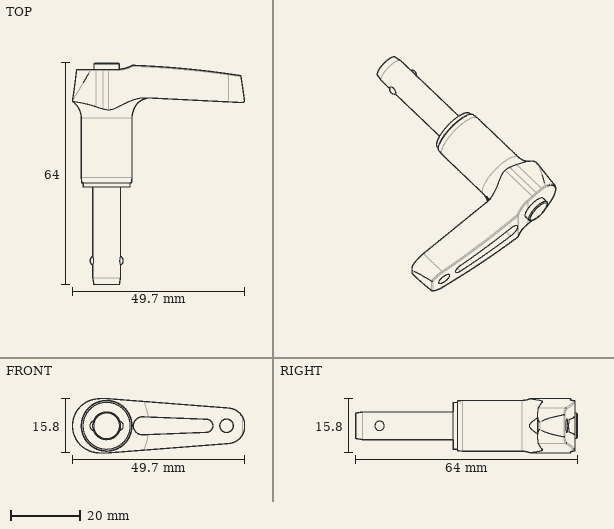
import cadquery as cq
import math


pin_radius = 4.0
pin_length = 28.15
tip_radius = 3.7
tip_length = 2.0
collar_radius = 6.8
collar_height = 1.2
neck_radius = 7.35
neck_end_radius = 7.2
neck_taper_top = 2.75

ball_radius = 1.5
ball_reach = 4.8
ball_y = -21.25

button_radius = 3.7
button_top = 35.85
button_chamfer = 0.3

hub_diameter = 15.7
hub_radius = hub_diameter / 2
hub_center_x = -2.05
shoulder_x = -3.15
crown_x = -1.0
flank_radius = 20.5
end_radius = 5.2
end_center_x = 34.75

hub_top = 34.0
dip_start = (2.55, hub_top)
dip_middle = (5.25, 34.3)
crest = (7.55, 35.2)
back_middle = (23.7, 34.1)
nose_top = (38.8, 32.2)
nose_bottom = (39.95, 24.3)
nose_fillet = 0.65
arm_base_slope = -0.05
edge_fillet = 0.3
edge_pick_margin = 0.1

cone_top_radius = 8.7
cone_low_radius = 9.85
cone_low_y = 25.2
flare_radius = 5.9
flare_start_y = 19.9
flare_overlap = 2.55

slot_wide_radius = 2.55
slot_wide_x = 10.3
slot_narrow_radius = 1.85
slot_narrow_x = 28.8
hole_radius = 1.9
hole_x = 34.6

handle_low_y = 16.0
cut_height = 25.6
half_depth = 12.8
arm_room_length = 64.0


def extrude_along_y(outline):
    """Raise a closed outline drawn in X and Z through the handle's full height."""
    return outline.close().extrude(-cut_height)


def plan_sketch():
    """Sketch plane with X and Z axes, below the handle."""
    return cq.Workplane("XZ", origin=(0, handle_low_y, 0))


def tapered_round(x_a, radius_a, x_b, radius_b):
    """Solid whose outline joins two circles by their common tangents."""
    lean = math.asin((radius_a - radius_b) / (x_b - x_a))
    across = math.cos(lean)
    along = math.sin(lean)
    outline = (
        plan_sketch()
        .moveTo(x_a + radius_a * along, radius_a * across)
        .lineTo(x_b + radius_b * along, radius_b * across)
        .threePointArc((x_b + radius_b, 0), (x_b + radius_b * along, -radius_b * across))
        .lineTo(x_a + radius_a * along, -radius_a * across)
        .threePointArc((x_a - radius_a, 0), (x_a + radius_a * along, radius_a * across))
    )
    return extrude_along_y(outline)


def arc_points(center_x, center_z, radius, from_angle, to_angle):
    """Middle and end of an arc; angles are measured from +Z toward +X."""
    return [
        (center_x + radius * math.sin(angle), center_z + radius * math.cos(angle))
        for angle in ((from_angle + to_angle) / 2, to_angle)
    ]


def make_plan():
    """Handle outline: round hub, gently crowned flanks and a tapered arm with a round end."""
    hub_angle = math.asin((shoulder_x - hub_center_x) / hub_radius)
    hub_end = (shoulder_x, hub_radius * math.cos(hub_angle))
    crown_radius = (shoulder_x - crown_x) / math.sin(hub_angle)
    crown_center_z = hub_end[1] - crown_radius * math.cos(hub_angle)
    crown_peak = arc_points(crown_x, crown_center_z, crown_radius, hub_angle, 0)

    flank_center_z = crown_peak[1][1] - flank_radius
    run = end_center_x - crown_x
    arm_angle = math.asin((flank_radius - end_radius) / math.hypot(run, flank_center_z))
    arm_angle += math.atan2(flank_center_z, run)
    flank = arc_points(crown_x, flank_center_z, flank_radius, 0, arm_angle)
    arm_end = (
        end_center_x + end_radius * math.sin(arm_angle),
        end_radius * math.cos(arm_angle),
    )

    def mirrored(point):
        return (point[0], -point[1])

    outline = (
        plan_sketch()
        .moveTo(*hub_end)
        .threePointArc(*crown_peak)
        .threePointArc(*flank)
        .lineTo(*arm_end)
        .threePointArc((end_center_x + end_radius, 0), mirrored(arm_end))
        .lineTo(*mirrored(flank[1]))
        .threePointArc(mirrored(flank[0]), mirrored(crown_peak[1]))
        .threePointArc(mirrored(crown_peak[0]), mirrored(hub_end))
        .threePointArc((hub_center_x - hub_radius, 0), hub_end)
    )
    return extrude_along_y(outline)


def revolve_about_pin(outline):
    return outline.close().revolve(360, (0, 0, 0), (0, 1, 0))


def make_side_profile():
    """Slab with the curved back, sloped nose and sloped underside of the handle."""
    left_x = hub_center_x - hub_radius
    left_y = nose_bottom[1] + arm_base_slope * (left_x - nose_bottom[0])
    slab = (
        cq.Workplane("XY")
        .moveTo(left_x, left_y)
        .lineTo(left_x, hub_top)
        .lineTo(*dip_start)
        .threePointArc(dip_middle, crest)
        .threePointArc(back_middle, nose_top)
        .lineTo(*nose_bottom)
        .close()
        .extrude(half_depth, both=True)
    )
    nose_edge = cq.selectors.NearestToPointSelector((*nose_bottom, 0))
    return slab.edges(nose_edge).fillet(nose_fillet)


def make_flare():
    """Quarter-round flare from the neck to the underside of the handle."""
    outer = neck_radius + flare_radius
    bend = flare_radius * math.sqrt(0.5)
    rim_y = flare_start_y + flare_radius
    upper_y = rim_y + flare_overlap
    return revolve_about_pin(
        cq.Workplane("XY")
        .moveTo(0, flare_start_y)
        .lineTo(neck_radius, flare_start_y)
        .threePointArc((outer - bend, flare_start_y + bend), (outer, rim_y))
        .lineTo(outer, upper_y)
        .lineTo(0, upper_y)
    )


def make_cone_limit():
    """Cone that trims the back of the hub, with a block leaving the arm untouched."""
    taper = (cone_low_radius - cone_top_radius) / (hub_top - cone_low_y)
    high_y = handle_low_y + cut_height
    cone = revolve_about_pin(
        cq.Workplane("XY")
        .moveTo(0, handle_low_y)
        .lineTo(cone_low_radius + taper * (cone_low_y - handle_low_y), handle_low_y)
        .lineTo(cone_top_radius - taper * (high_y - hub_top), high_y)
        .lineTo(0, high_y)
    )
    arm_room = cq.Workplane("XY").box(
        arm_room_length, cut_height, 2 * half_depth, centered=(False, False, True)
    )
    return cone.union(arm_room.translate((0, handle_low_y, 0)))


def make_handle():
    body = make_side_profile().union(make_flare())
    body = body.intersect(make_plan()).intersect(make_cone_limit())
    hub_back = cq.selectors.BoxSelector(
        (hub_center_x - hub_radius, hub_top - edge_pick_margin, -half_depth),
        (dip_start[0], hub_top + edge_pick_margin, half_depth),
    )
    arm_back = cq.selectors.BoxSelector(
        (dip_start[0], nose_top[1], -half_depth),
        (nose_top[0], button_top, half_depth),
    )
    body = body.faces(hub_back + arm_back).edges().fillet(edge_fillet)
    slot = tapered_round(slot_wide_x, slot_wide_radius, slot_narrow_x, slot_narrow_radius)
    hole = plan_sketch().center(hole_x, 0).circle(hole_radius).extrude(-cut_height)
    return body.cut(slot).cut(hole)


def make_pin():
    """Tapered tip, pin, collar and neck turned about the pin axis."""
    return revolve_about_pin(
        cq.Workplane("XY")
        .moveTo(0, -pin_length)
        .lineTo(tip_radius, -pin_length)
        .lineTo(pin_radius, tip_length - pin_length)
        .lineTo(pin_radius, 0)
        .lineTo(collar_radius, 0)
        .lineTo(collar_radius, collar_height)
        .lineTo(neck_end_radius, collar_height)
        .lineTo(neck_radius, neck_taper_top)
        .lineTo(neck_radius, flare_start_y)
        .lineTo(0, flare_start_y)
    )


def make_button():
    height = button_top - flare_start_y
    button = cq.Workplane("XZ", origin=(0, flare_start_y, 0)).circle(button_radius).extrude(-height)
    return button.faces(">Y").chamfer(button_chamfer)


result = make_handle().union(make_pin()).union(make_button())
for side in (-1, 1):
    ball_x = side * (ball_reach - ball_radius)
    ball = cq.Workplane("XY").sphere(ball_radius).translate((ball_x, ball_y, 0))
    result = result.union(ball)